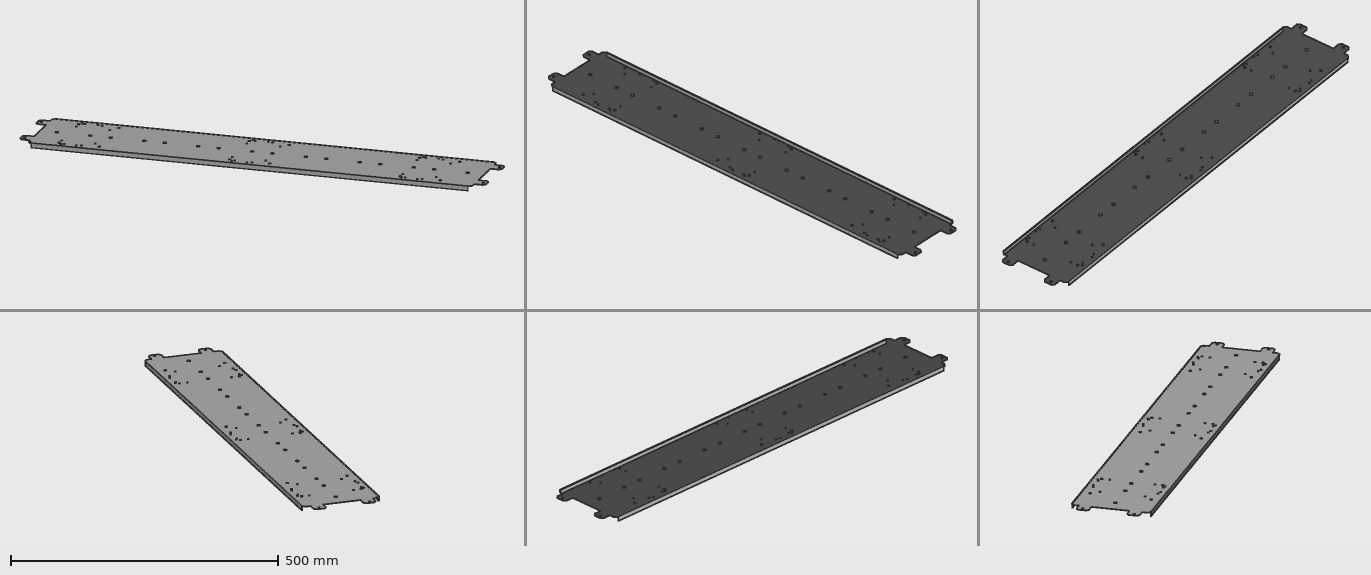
import cadquery as cq

overall_length = 916.0
overall_width = 155.0
overall_height = 10.0
sheet = 1.5

plate_length = 874.0
flange_length = 859.0
corner_cut = 5.5

tab_width = 25.0
tab_offset_y = 49.5
tab_corner = 5.0
tab_hole_x = 451.0
tab_hole_y = 50.0
tab_hole_diameter = 5.0

pair_count = 8
pair_row_span = 742.0
pair_spacing = 66.0
row_hole_diameter = 6.0

group_pitch = 335.0
small_hole_diameter = 3.2
large_hole_diameter = 5.0
small_holes = [(-45.0, 44.0), (21.0, 44.0), (-39.0, 66.0), (-34.0, 63.0), (-9.0, 66.0), (0.0, 63.0)]
large_holes = [(-45.0, 59.5), (34.0, 59.5)]

corner_hole_x = -434.0
corner_hole_y = -71.0
corner_hole_diameter = 4.0


def make_plate():
    """Flat plate with cut corners; the top face lies on Z = 0."""
    return (
        cq.Workplane("XY")
        .rect(plate_length, overall_width)
        .extrude(-sheet)
        .edges("|Z")
        .chamfer(corner_cut)
    )


def make_flanges():
    """Two walls folded down along the long edges of the plate."""
    flange_y = (overall_width - sheet) / 2
    return (
        cq.Workplane("XY")
        .pushPoints([(0, side * flange_y) for side in (-1, 1)])
        .rect(flange_length, sheet)
        .extrude(-overall_height)
    )


def make_tabs():
    """Two full-length strips whose ends stick out as tabs with cut corners."""
    return (
        cq.Workplane("XY")
        .pushPoints([(0, side * tab_offset_y) for side in (-1, 1)])
        .rect(overall_length, tab_width)
        .extrude(-sheet)
        .edges("|Z")
        .chamfer(tab_corner)
    )


def drill(body, points, diameter):
    """Cut through holes at the given plate positions."""
    cutters = cq.Workplane("XY").pushPoints(points).circle(diameter / 2).extrude(-overall_height)
    return body.cut(cutters)


def row_points():
    pair_pitch = pair_row_span / (pair_count - 1)
    centres = [index * pair_pitch - pair_row_span / 2 for index in range(pair_count)]
    return [(centre + side * pair_spacing / 2, 0) for centre in centres for side in (-1, 1)]


def group_points(pattern):
    return [
        (group * group_pitch + x, side * y)
        for group in (-1, 0, 1)
        for side in (-1, 1)
        for x, y in pattern
    ]


tab_points = [(end * tab_hole_x, side * tab_hole_y) for end in (-1, 1) for side in (-1, 1)]

result = make_plate().union(make_flanges()).union(make_tabs())
result = drill(result, tab_points, tab_hole_diameter)
result = drill(result, row_points(), row_hole_diameter)
result = drill(result, group_points(small_holes), small_hole_diameter)
result = drill(result, group_points(large_holes), large_hole_diameter)
result = drill(result, [(corner_hole_x, corner_hole_y)], corner_hole_diameter)